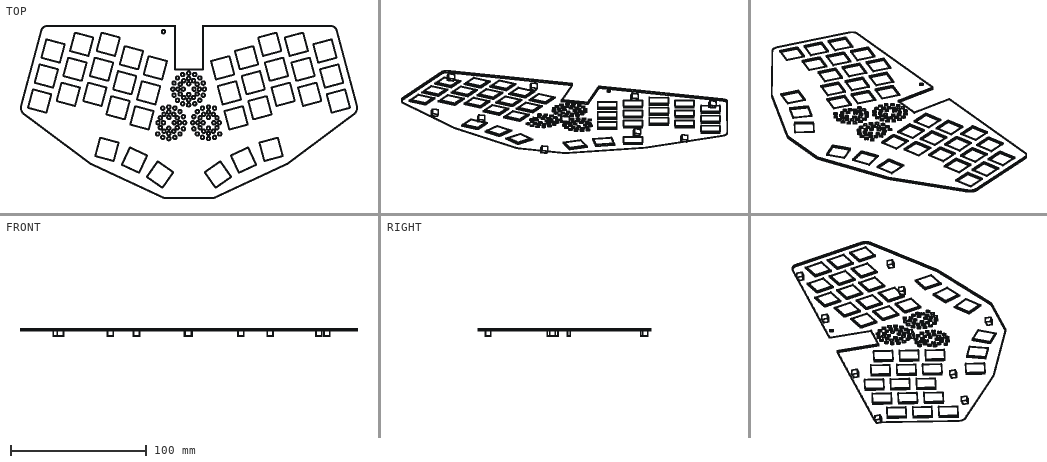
import cadquery as cq
import math

WIDTH = 248.0
DEPTH = 127.0
HEIGHT = 5.2
PLATE_THICKNESS = 1.5
REAR_Y = DEPTH / 2
FRONT_Y = -DEPTH / 2

SIDE_LEAN = 15.0
FRONT_SLOPE = 37.0
SIDE_RADIUS = 6.2
SIDE_RADIUS_Y = 3.2
REAR_RADIUS = 4.7
FRONT_KNEE = (72.7, -38.2)
FRONT_HALF_WIDTH = 18.4
NOTCH_WIDTH = 20.3
NOTCH_DEPTH = 32.0

KEY_SIZE = 14.0
KEY_PITCH = 19.0
COLUMN_LEAN = SIDE_LEAN
COLUMN_MIDDLES = [(105.2, 26.5), (84.0, 31.5), (64.5, 31.5), (47.5, 21.5), (29.8, 14.1)]
THUMB_KEYS = [(60.5, -27.5, 15.0), (40.2, -35.5, 25.0), (21.3, -46.2, 35.0)]

HOLE_DIAMETER = 2.5
INNER_RING_RADIUS = 4.0
MIDDLE_RING_RADIUS = 8.0
MIDDLE_DIAGONAL_RADIUS = 7.2
MIDDLE_DIAGONAL_ANGLE = 30.0
OUTER_RING_RADIUS = 11.7
OUTER_RING_COUNT = 16
REAR_GRILLE_Y = 16.9
FRONT_GRILLE_X = 14.6
FRONT_GRILLE_Y = -8.0
GRILLE_SHIFT = -0.2
OMITTED_ANGLES = (0.0, 22.5, 45.0, 337.5)
SINGLE_HOLE = (-18.9, 59.3)

POST_LENGTH = 4.5
POST_WIDTH = 4.0
POST_CENTERS = [
    (-98.0, 59.5),
    (-38.7, 58.0),
    (38.2, 58.0),
    (101.7, 59.5),
    (-94.8, -9.0),
    (-58.0, -6.7),
    (59.8, -11.0),
    (95.8, -9.0),
    (-0.5, -56.3),
]
WIDE_POST_CENTER = (-0.5, 3.2)
WIDE_POST_LENGTH = 6.0
WIDE_POST_WIDTH = 2.2


def polar(radius, degrees):
    angle = math.radians(degrees)
    return (radius * math.cos(angle), radius * math.sin(angle))


def side_corner():
    """Sharp corner where the leaning side would meet the front slope, before rounding."""
    side_normal = SIDE_LEAN
    front_normal = FRONT_SLOPE - 90
    half_turn = math.radians((side_normal - front_normal) / 2)
    reach = SIDE_RADIUS / math.cos(half_turn)
    dx, dy = polar(reach, (side_normal + front_normal) / 2)
    return (WIDTH / 2 - SIDE_RADIUS + dx, SIDE_RADIUS_Y + dy)


def round_corner(body, x, y, radius):
    """Round the upright edges at (x, y) and at its mirror image."""
    for side in (-1, 1):
        corner = cq.selectors.NearestToPointSelector((side * x, y, PLATE_THICKNESS / 2))
        body = body.edges(corner).fillet(radius)
    return body


def make_plate():
    side_x, side_y = side_corner()
    rear_x = side_x - (REAR_Y - side_y) * math.tan(math.radians(SIDE_LEAN))
    notch_x = NOTCH_WIDTH / 2
    notch_y = REAR_Y - NOTCH_DEPTH
    half = [
        (notch_x, notch_y),
        (notch_x, REAR_Y),
        (rear_x, REAR_Y),
        (side_x, side_y),
        FRONT_KNEE,
        (FRONT_HALF_WIDTH, FRONT_Y),
    ]
    mirrored = [(-x, y) for x, y in reversed(half)]
    plate = cq.Workplane("XY").polyline(half + mirrored).close().extrude(PLATE_THICKNESS)
    plate = round_corner(plate, side_x, side_y, SIDE_RADIUS)
    return round_corner(plate, rear_x, REAR_Y, REAR_RADIUS)


def key_openings():
    """(x, y, turn) of every key opening on the +X half."""
    openings = list(THUMB_KEYS)
    for x, y in COLUMN_MIDDLES:
        for step in (-1, 0, 1):
            dx, dy = polar(step * KEY_PITCH, 90 + COLUMN_LEAN)
            openings.append((x + dx, y + dy, COLUMN_LEAN))
    return openings


def cut_keys(plate):
    for x, y, turn in key_openings():
        for side in (-1, 1):
            opening = cq.Workplane("XY").rect(KEY_SIZE, KEY_SIZE).extrude(PLATE_THICKNESS)
            opening = opening.rotate((0, 0, 0), (0, 0, 1), side * turn)
            plate = plate.cut(opening.translate((side * x, y, 0)))
    return plate


def grille_points(omitted=()):
    """Hole centers of one grille around the origin."""
    points = []
    for index in range(4):
        quarter = index * 90
        points.append(polar(INNER_RING_RADIUS, quarter))
        points.append(polar(MIDDLE_RING_RADIUS, quarter))
        points.append(polar(MIDDLE_DIAGONAL_RADIUS, quarter + MIDDLE_DIAGONAL_ANGLE))
        points.append(polar(MIDDLE_DIAGONAL_RADIUS, quarter + 90 - MIDDLE_DIAGONAL_ANGLE))
    for index in range(OUTER_RING_COUNT):
        angle = index * 360 / OUTER_RING_COUNT
        if angle not in omitted:
            points.append(polar(OUTER_RING_RADIUS, angle))
    return points


def cut_round_holes(plate):
    centers = [SINGLE_HOLE]
    centers += [(GRILLE_SHIFT + x, REAR_GRILLE_Y + y) for x, y in grille_points()]
    for x, y in grille_points(OMITTED_ANGLES):
        for side in (-1, 1):
            centers.append((GRILLE_SHIFT + side * (FRONT_GRILLE_X + x), FRONT_GRILLE_Y + y))
    holes = cq.Workplane("XY").pushPoints(centers).circle(HOLE_DIAMETER / 2).extrude(PLATE_THICKNESS)
    return plate.cut(holes)


def add_posts(plate):
    drop = PLATE_THICKNESS - HEIGHT
    posts = cq.Workplane("XY").pushPoints(POST_CENTERS).rect(POST_LENGTH, POST_WIDTH).extrude(drop)
    wide_post = cq.Workplane("XY").center(*WIDE_POST_CENTER)
    wide_post = wide_post.rect(WIDE_POST_LENGTH, WIDE_POST_WIDTH).extrude(drop)
    return plate.union(posts).union(wide_post)


result = add_posts(cut_round_holes(cut_keys(make_plate())))